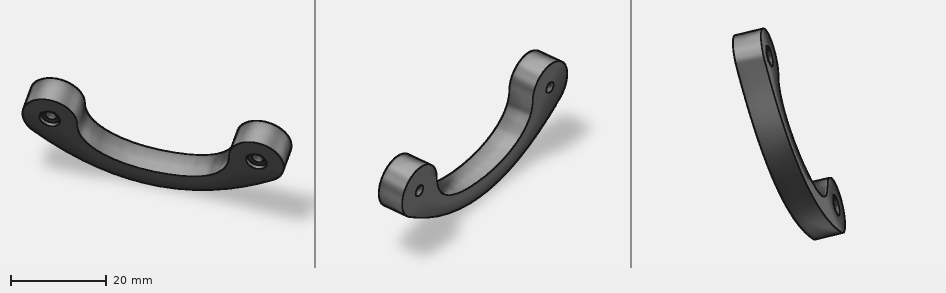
import cadquery as cq
import math

LENGTH = 57.0
THICKNESS = 6.2
HEIGHT = 20.3

BOSS_RADIUS = 6.0
HOLE_DIAMETER = 2.5
COUNTERBORE_DIAMETER = 4.5
COUNTERBORE_DEPTH = 1.0

INNER_DEPTH = 9.9
OUTER_END_ANGLE = 36.0

LEFT_BOSS_REACH = 6.6
LEFT_BOTTOM_REACH = 8.25
RIGHT_BOSS_REACH = 7.2
RIGHT_BOTTOM_REACH = 9.4

boss_x = LENGTH / 2 - BOSS_RADIUS
outer_depth = HEIGHT - BOSS_RADIUS
inner_half_span = boss_x - BOSS_RADIUS


def make_bow():
    """Band between a parabola below and two smoothly joined cubic curves above, joining the two bosses."""
    end_angle = math.radians(OUTER_END_ANGLE)
    outer_x = boss_x + BOSS_RADIUS * math.sin(end_angle)
    outer_z = -BOSS_RADIUS * math.cos(end_angle)
    outer_control_z = -2 * outer_depth - outer_z
    return (
        cq.Workplane("XZ")
        .moveTo(-outer_x, outer_z)
        .bezier([(-outer_x, outer_z), (0, outer_control_z), (outer_x, outer_z)])
        .lineTo(boss_x, 0)
        .lineTo(inner_half_span, 0)
        .bezier([
            (inner_half_span, 0),
            (inner_half_span, -RIGHT_BOSS_REACH),
            (RIGHT_BOTTOM_REACH, -INNER_DEPTH),
            (0, -INNER_DEPTH),
        ])
        .bezier([
            (0, -INNER_DEPTH),
            (-LEFT_BOTTOM_REACH, -INNER_DEPTH),
            (-inner_half_span, -LEFT_BOSS_REACH),
            (-inner_half_span, 0),
        ])
        .lineTo(-boss_x, 0)
        .close()
        .extrude(THICKNESS)
    )


boss_centers = [(-boss_x, 0), (boss_x, 0)]
bosses = cq.Workplane("XZ").pushPoints(boss_centers).circle(BOSS_RADIUS).extrude(THICKNESS)

result = (
    make_bow()
    .union(bosses)
    .faces("<Y")
    .workplane(origin=(0, -THICKNESS, 0))
    .pushPoints(boss_centers)
    .cboreHole(HOLE_DIAMETER, COUNTERBORE_DIAMETER, COUNTERBORE_DEPTH)
)